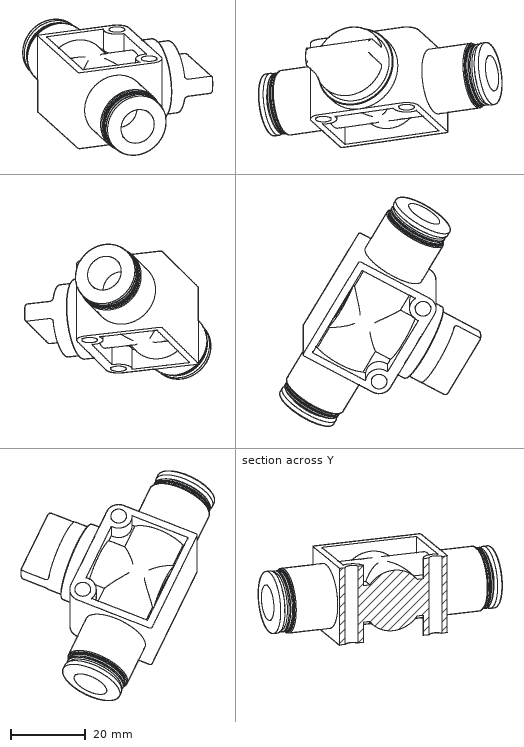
import cadquery as cq
import math


body_width = 30.9
body_height = 21.7
body_front = -10.5
body_back = 14.55
back_corner_radius = 3.5
front_corner_radius = 0.5

pocket_width = 27.05
pocket_front = -8.5
pocket_back = 11.65
pocket_floor = 5.2
stem_tube_radius = 8.55
stem_tube_front = -7.4
stem_foot_radius = 6.8

mount_hole_diameter = 4.2
mount_boss_radius = 3.6
mount_x = body_width / 2 - back_corner_radius
mount_y = body_back - back_corner_radius

port_end = 32.2
port_radius = 17.5 / 2
port_shoulder = 27.55
port_chamfer = 0.25
bore_radius = 9.5 / 2
bore_depth = 12.9
sleeve_radius = 11.65 / 2
collar_radius = 16.8 / 2
collar_cone_radius = 8.0
collar_cone_end = 31.9
collar_rim_end = 31.6
collar_back = 30.4
ring_radius = 16.5 / 2
ring_groove_radius = 7.85
ring_end = 29.5
ring_bevel = 0.3
ring_groove_x = 28.5
outer_ring_start = 28.7
inner_ring_start = 27.8
ring_land_radius = 8.1

knob_flange_radius = body_height / 2
knob_flange_end = 18.1
knob_flange_chamfer = 0.2
knob_radius = 19.5 / 2
knob_step = 22.35
knob_end = 30.5
grip_thickness = 4.9
grip_root_radius = 0.95
grip_tip_radius = 1.0


def cylinder_along_y(radius, start, end):
    return cq.Workplane("XZ", origin=(0, start, 0)).circle(radius).extrude(start - end)


def make_body():
    depth = body_back - body_front
    block = cq.Workplane("XY").box(body_width, depth, body_height)
    block = block.translate((0, (body_front + body_back) / 2, 0))
    block = block.edges("|Z and >Y").fillet(back_corner_radius)
    return block.edges("|Z and <Y").fillet(front_corner_radius)


def make_upper_pocket():
    depth = body_height / 2 - pocket_floor
    pocket = (
        cq.Workplane("XY", origin=(0, (pocket_front + pocket_back) / 2, pocket_floor))
        .rect(pocket_width, pocket_back - pocket_front)
        .extrude(depth)
    )
    bosses = (
        cq.Workplane("XY", origin=(0, 0, pocket_floor))
        .pushPoints([(-mount_x, mount_y), (mount_x, mount_y)])
        .circle(mount_boss_radius)
        .extrude(depth)
    )
    corner_fill_depth = pocket_back - mount_y
    corner_fill = (
        cq.Workplane("XY", origin=(0, mount_y + corner_fill_depth / 2, pocket_floor))
        .pushPoints([(-mount_x, 0), (mount_x, 0)])
        .rect(2 * mount_boss_radius, corner_fill_depth)
        .extrude(depth)
    )
    flow_tube = cq.Workplane("YZ").circle(port_radius).extrude(body_width / 2, both=True)
    stem_tube = cylinder_along_y(stem_tube_radius, stem_tube_front, body_back)
    stem_foot = cylinder_along_y(stem_foot_radius, body_front, stem_tube_front)
    for kept in (bosses, corner_fill, flow_tube, stem_tube, stem_foot):
        pocket = pocket.cut(kept)
    return pocket


def make_right_port():
    """Stepped port revolved about X, with its blind bore."""
    rim_middle_offset = 1 - math.sqrt(0.5)
    rim_middle = (
        collar_cone_end - (collar_cone_end - collar_rim_end) * rim_middle_offset,
        collar_radius - (collar_radius - collar_cone_radius) * rim_middle_offset,
    )
    bore_bottom = port_end - bore_depth
    return (
        cq.Workplane("XY")
        .moveTo(0, 0)
        .lineTo(0, port_radius)
        .lineTo(port_shoulder - port_chamfer, port_radius)
        .lineTo(port_shoulder, port_radius - port_chamfer)
        .lineTo(port_shoulder, ring_land_radius)
        .lineTo(inner_ring_start, ring_land_radius)
        .lineTo(inner_ring_start, ring_radius)
        .lineTo(ring_groove_x - ring_bevel, ring_radius)
        .lineTo(ring_groove_x, ring_groove_radius)
        .lineTo(outer_ring_start, ring_groove_radius)
        .lineTo(outer_ring_start, ring_radius)
        .lineTo(ring_end - ring_bevel, ring_radius)
        .lineTo(ring_end, ring_groove_radius)
        .lineTo(ring_end, sleeve_radius)
        .lineTo(collar_back, sleeve_radius)
        .lineTo(collar_back, collar_radius)
        .lineTo(collar_rim_end, collar_radius)
        .threePointArc(rim_middle, (collar_cone_end, collar_cone_radius))
        .lineTo(port_end, sleeve_radius)
        .lineTo(port_end, bore_radius)
        .lineTo(bore_bottom, bore_radius)
        .lineTo(bore_bottom, 0)
        .close()
        .revolve(360, (0, 0, 0), (1, 0, 0))
    )


def make_knob():
    flange = cylinder_along_y(knob_flange_radius, pocket_back, knob_flange_end)
    flange = flange.faces(">Y").chamfer(knob_flange_chamfer)
    half_grip = grip_thickness / 2
    root_y = knob_step + grip_root_radius
    root_z = half_grip + grip_root_radius
    root_arc_y = root_y - grip_root_radius * math.sqrt(0.5)
    root_arc_z = root_z - grip_root_radius * math.sqrt(0.5)
    section = (
        cq.Workplane("YZ")
        .moveTo(pocket_back, -knob_radius)
        .lineTo(knob_step, -knob_radius)
        .lineTo(knob_step, -root_z)
        .threePointArc((root_arc_y, -root_arc_z), (root_y, -half_grip))
        .lineTo(knob_end, -half_grip)
        .lineTo(knob_end, half_grip)
        .lineTo(root_y, half_grip)
        .threePointArc((root_arc_y, root_arc_z), (knob_step, root_z))
        .lineTo(knob_step, knob_radius)
        .lineTo(pocket_back, knob_radius)
        .close()
        .extrude(knob_radius, both=True)
    )
    drum = cylinder_along_y(knob_radius, pocket_back, knob_end).intersect(section)
    return flange.union(drum.faces(">Y").edges().fillet(grip_tip_radius))


upper_pocket = make_upper_pocket()
right_port = make_right_port()

body = make_body().cut(upper_pocket).cut(upper_pocket.mirror("XY"))
mount_holes = (
    cq.Workplane("XY")
    .pushPoints([(-mount_x, mount_y), (mount_x, mount_y)])
    .circle(mount_hole_diameter / 2)
    .extrude(body_height, both=True)
)

result = (
    body.union(make_knob())
    .union(right_port)
    .union(right_port.mirror("YZ"))
    .cut(mount_holes)
)